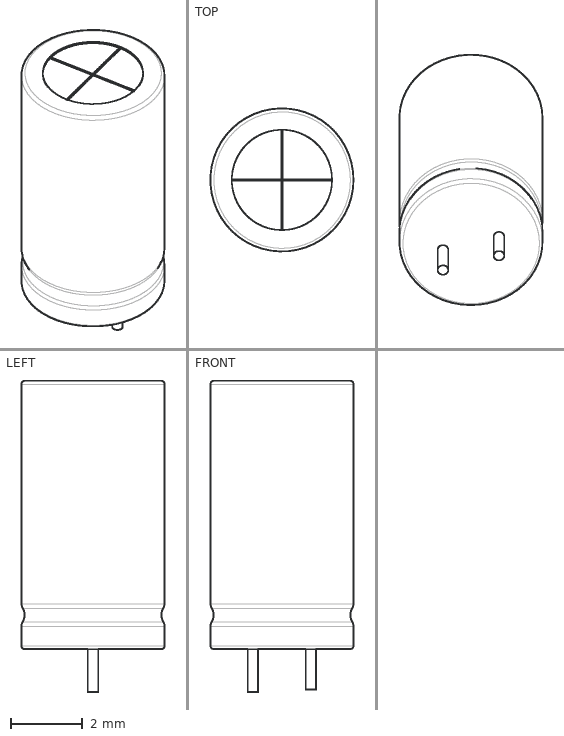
import cadquery as cq

can_radius = 2.0
can_height = 7.5
edge_radius = 0.1

crimp_height = 0.96
crimp_half_width = 0.31
crimp_valley_half_width = 0.19
crimp_depth = 0.09

recess_radius = 1.4
recess_depth = 0.05
score_width = 0.035
score_depth = 0.03

lead_radius = 0.15
lead_offset = 0.81
long_lead_length = 8.7 - can_height
short_lead_length = 1.13


def make_can():
    """Revolve the can: rounded ends and a smoothly blended crimp groove."""
    valley_radius = can_radius - crimp_depth
    blend_radius = valley_radius + crimp_depth * crimp_valley_half_width / crimp_half_width
    profile = (
        cq.Workplane("XZ")
        .lineTo(can_radius - edge_radius, 0)
        .tangentArcPoint((can_radius, edge_radius), relative=False)
        .lineTo(can_radius, crimp_height - crimp_half_width)
        .tangentArcPoint((blend_radius, crimp_height - crimp_valley_half_width), relative=False)
        .threePointArc(
            (valley_radius, crimp_height),
            (blend_radius, crimp_height + crimp_valley_half_width),
        )
        .tangentArcPoint((can_radius, crimp_height + crimp_half_width), relative=False)
        .lineTo(can_radius, can_height - edge_radius)
        .tangentArcPoint((can_radius - edge_radius, can_height), relative=False)
        .lineTo(0, can_height)
        .close()
    )
    return profile.revolve(360, (0, 0, 0), (0, 1, 0))


def make_vent():
    """Material removed from the top: round recess plus crossed score lines in its floor."""
    floor_height = can_height - recess_depth
    recess = cq.Workplane("XY", origin=(0, 0, floor_height)).circle(recess_radius).extrude(recess_depth)
    score_plane = cq.Workplane("XY", origin=(0, 0, floor_height - score_depth))
    cut_height = score_depth + recess_depth
    scores = (
        score_plane.rect(2 * recess_radius, score_width).extrude(cut_height)
        .union(score_plane.rect(score_width, 2 * recess_radius).extrude(cut_height))
        .intersect(score_plane.circle(recess_radius).extrude(cut_height))
    )
    return recess.union(scores)


def make_lead(x, length):
    """Round lead hanging from the underside of the can."""
    return cq.Workplane("XY").center(x, 0).circle(lead_radius).extrude(-length)


result = make_can().cut(make_vent())
for lead_x, lead_length in ((-lead_offset, long_lead_length), (lead_offset, short_lead_length)):
    result = result.union(make_lead(lead_x, lead_length))